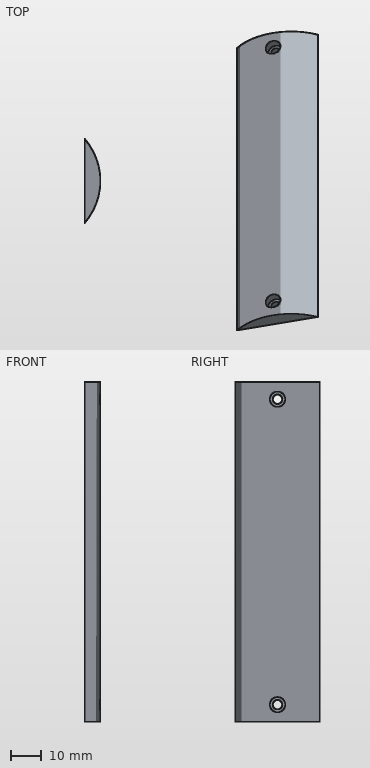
import cadquery as cq

length = 111.4
width = 27.7
thickness = 5.2

hole_diameter = 3.0
counterbore_diameter = 5.0
counterbore_depth = 3.0
hole_spacing = 100.0

strip = (
    cq.Workplane("XY")
    .moveTo(0, -width / 2)
    .threePointArc((thickness, 0), (0, width / 2))
    .close()
    .extrude(length)
)

result = (
    strip.copyWorkplane(cq.Workplane("YZ", origin=(thickness, 0, length / 2)))
    .pushPoints([(0, -hole_spacing / 2), (0, hole_spacing / 2)])
    .cboreHole(hole_diameter, counterbore_diameter, counterbore_depth)
)